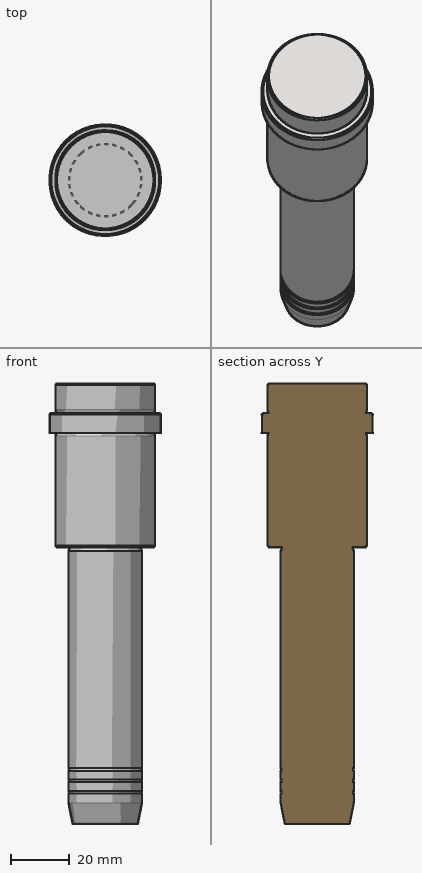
import cadquery as cq

total_length = 150.0
head_height = 10.0
flange_height = 6.9
body_length = 38.8

flange_radius = 38.0 / 2
body_radius = 34.0 / 2
shank_radius = 25.0 / 2
tip_radius = 22.2 / 2

edge_chamfer = 0.6
flange_chamfer = 0.6
relief_width = 1.0
relief_depth = 0.3
shank_neck_length = 1.4
shank_neck_depth = 0.5

groove_count = 3
groove_pitch = 3.9
lowest_groove_z = 10.4
groove_width = 0.9
groove_depth = 0.3
lead_in_height = 7.2
tip_fillet = 0.5

flange_top_z = total_length - head_height
flange_bottom_z = flange_top_z - flange_height
body_bottom_z = flange_bottom_z - body_length


def cylinder(radius, bottom_z, top_z):
    return cq.Workplane("XY").workplane(offset=bottom_z).circle(radius).extrude(top_z - bottom_z)


def ring_groove(radius, depth, bottom_z, width):
    """Ring that cuts a groove with a rounded floor."""
    top_z = bottom_z + width
    floor_radius = radius - depth
    return (
        cq.Workplane("XZ")
        .moveTo(radius, bottom_z)
        .threePointArc((floor_radius, bottom_z + width / 2), (radius, top_z))
        .close()
        .revolve(360, (0, 0, 0), (0, 1, 0))
    )


def relief(radius, depth, straight_z, sloped_z):
    """Undercut beside a shoulder at its root, sloping straight back out to the full radius."""
    floor_radius = radius - depth
    return (
        cq.Workplane("XZ")
        .moveTo(radius, straight_z)
        .lineTo(floor_radius, straight_z)
        .lineTo(radius, sloped_z)
        .close()
        .revolve(360, (0, 0, 0), (0, 1, 0))
    )


def make_shank():
    shank = (
        cq.Workplane("XZ")
        .lineTo(tip_radius, 0)
        .lineTo(shank_radius, lead_in_height)
        .lineTo(shank_radius, body_bottom_z)
        .lineTo(0, body_bottom_z)
        .close()
        .revolve(360, (0, 0, 0), (0, 1, 0))
        .faces("<Z")
        .edges()
        .fillet(tip_fillet)
    )
    for index in range(groove_count):
        groove_z = lowest_groove_z + index * groove_pitch
        shank = shank.cut(ring_groove(shank_radius, groove_depth, groove_z, groove_width))
    neck_end_z = body_bottom_z - shank_neck_length
    return shank.cut(relief(shank_radius, shank_neck_depth, body_bottom_z, neck_end_z))


def make_body():
    body = cylinder(body_radius, body_bottom_z, total_length)
    body = body.faces("<Z or >Z").edges().chamfer(edge_chamfer)
    above_flange = relief(body_radius, relief_depth, flange_top_z, flange_top_z + relief_width)
    below_flange = relief(body_radius, relief_depth, flange_bottom_z, flange_bottom_z - relief_width)
    return body.cut(above_flange).cut(below_flange)


def make_flange():
    flange = cylinder(flange_radius, flange_bottom_z, flange_top_z)
    return flange.faces(">Z").edges().chamfer(flange_chamfer)


result = make_shank().union(make_body()).union(make_flange())